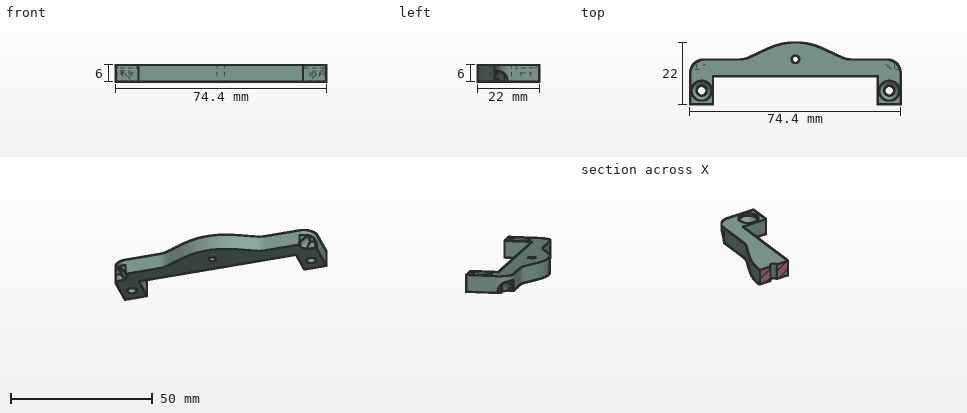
import cadquery as cq
import math

length = 74.4
depth = 21.95
thickness = 6.0
half_length = length / 2
leg_width = 8.2
bar_front = 9.9
bar_back = 15.9
corner_radius = 5.05

flank_angle = math.radians(25)
crown_radius = 22.3
blend_radius = 7.45

center_hole_diameter = 2.6
screw_hole_diameter = 3.4
screw_head_diameter = 7.1
screw_head_depth = 1.05
screw_x = half_length - leg_width / 2
screw_y = 4.8

recess_y = 15.2
recess_radius = 3.95
recess_skin = 0.2
socket_front = 12.35
socket_mouth = 2.2
socket_depth = 5.2
socket_floor_radius = 1.05


def arc_offset(radius, angle):
    """Horizontal and vertical distance covered by an arc that starts horizontal."""
    return radius * math.sin(angle), radius * (1 - math.cos(angle))


def make_plate():
    crown_dx, crown_dy = arc_offset(crown_radius, flank_angle)
    blend_dx, blend_dy = arc_offset(blend_radius, flank_angle)
    blend_mid_dx, blend_mid_dy = arc_offset(blend_radius, flank_angle / 2)
    flank_dy = depth - bar_back - crown_dy - blend_dy
    flank_dx = flank_dy / math.tan(flank_angle)
    hump_end = crown_dx + flank_dx + blend_dx
    inner_x = half_length - leg_width

    plate = (
        cq.Workplane("XY")
        .moveTo(-half_length, 0)
        .lineTo(-half_length, bar_back)
        .lineTo(-hump_end, bar_back)
        .threePointArc(
            (-hump_end + blend_mid_dx, bar_back + blend_mid_dy),
            (-hump_end + blend_dx, bar_back + blend_dy),
        )
        .lineTo(-crown_dx, depth - crown_dy)
        .threePointArc((0, depth), (crown_dx, depth - crown_dy))
        .lineTo(hump_end - blend_dx, bar_back + blend_dy)
        .threePointArc(
            (hump_end - blend_mid_dx, bar_back + blend_mid_dy),
            (hump_end, bar_back),
        )
        .lineTo(half_length, bar_back)
        .lineTo(half_length, 0)
        .lineTo(inner_x, 0)
        .lineTo(inner_x, bar_front)
        .lineTo(-inner_x, bar_front)
        .lineTo(-inner_x, 0)
        .close()
        .extrude(thickness)
    )
    outer_corners = cq.selectors.BoxSelector(
        (-length, bar_back - 0.75, -0.75), (length, bar_back + 0.75, thickness + 0.75)
    )
    end_edges = plate.faces("<X or >X").edges("|Z").edges(outer_corners)
    return plate.newObject(end_edges.vals()).fillet(corner_radius)


def make_screw_cutter():
    """Through hole with a 45 degree countersink below a short cylindrical head seat."""
    head_radius = screw_head_diameter / 2
    hole_radius = screw_hole_diameter / 2
    cone_top = thickness - screw_head_depth
    cone_bottom = cone_top - (head_radius - hole_radius)
    return (
        cq.Workplane("XZ")
        .polyline([
            (0, 0),
            (hole_radius, 0),
            (hole_radius, cone_bottom),
            (head_radius, cone_top),
            (head_radius, thickness),
            (0, thickness),
        ])
        .close()
        .revolve(360, (0, 0), (0, 1))
    )


def make_corner_recess():
    """Thin recess following the left rounded corner, with a tapered socket behind it."""
    round_cut = (
        cq.Workplane("YZ", origin=(-half_length, recess_y, 0))
        .circle(recess_radius)
        .extrude(corner_radius)
    )
    inner_corner = (
        cq.Workplane("XY")
        .center(-half_length + corner_radius, bar_back - corner_radius)
        .circle(corner_radius - recess_skin)
        .extrude(thickness)
    )
    skin_cut = round_cut.cut(inner_corner)

    socket = (
        cq.Workplane("XY", origin=(-half_length, recess_y, 0))
        .polyline([
            (0, 0),
            (0, recess_radius),
            (socket_mouth, recess_radius),
            (socket_depth, socket_floor_radius),
            (socket_depth, 0),
        ])
        .close()
        .revolve(360, (0, 0), (1, 0))
    )
    socket_limit = cq.Workplane("XY").box(
        socket_depth, depth, thickness, centered=False
    ).translate((-half_length, socket_front, 0))
    return skin_cut.union(socket.intersect(socket_limit))


result = make_plate()

center_hole = cq.Workplane("XY").center(0, bar_back).circle(center_hole_diameter / 2).extrude(thickness)
result = result.cut(center_hole)

screw_cutter = make_screw_cutter()
for side in (-1, 1):
    result = result.cut(screw_cutter.translate((side * screw_x, screw_y, 0)))

corner_recess = make_corner_recess()
result = result.cut(corner_recess).cut(corner_recess.mirror("YZ"))